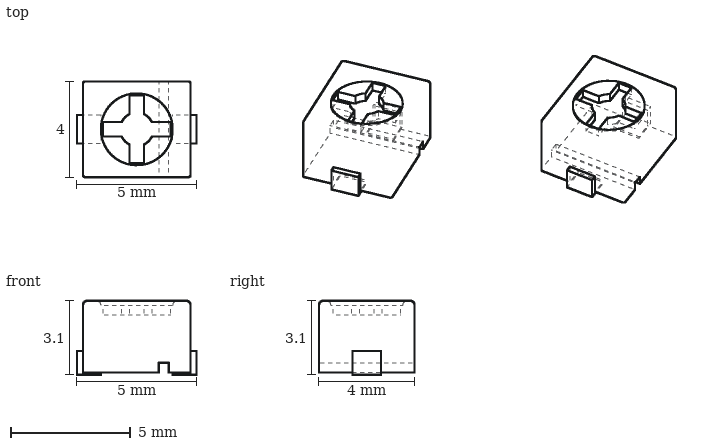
import cadquery as cq
import math

body_length = 4.5
body_width = 4.0
body_height = 3.0
standoff = 0.1
corner_radius = 0.1
top_edge_radius = 0.2
top_z = standoff + body_height

overall_length = 5.0
terminal_length = 1.0
terminal_width = 1.2
terminal_height = 1.0

notch_width = 0.4
notch_height = 0.4
notch_center_x = body_length / 4

recess_diameter = 3.0
recess_rim_radius = 0.2
recess_depth = recess_rim_radius
rotor_z = top_z - recess_depth
slot_length = 2.8
slot_width = 0.6
slot_hub_diameter = 1.4
slot_depth = 0.4


def make_housing():
    """Box with rounded upright corners and a rounded top edge."""
    block = (
        cq.Workplane("XY")
        .workplane(offset=standoff)
        .rect(body_length, body_width)
        .extrude(body_height)
    )
    return block.edges("|Z").fillet(corner_radius).faces(">Z").edges().fillet(top_edge_radius)


def make_terminal(side):
    """Solder terminal at one end; side is -1 or +1 along X."""
    center_x = side * (overall_length - terminal_length) / 2
    return (
        cq.Workplane("XY")
        .center(center_x, 0)
        .rect(terminal_length, terminal_width)
        .extrude(terminal_height)
    )


def make_notch():
    """Slot cut across the full width of the housing underside."""
    return (
        cq.Workplane("XY")
        .workplane(offset=standoff)
        .center(notch_center_x, 0)
        .rect(notch_width, body_width)
        .extrude(notch_height)
    )


def make_recess():
    """Round recess whose wall flares outward in a convex arc up to the top face."""
    inner_radius = recess_diameter / 2
    outer_radius = inner_radius + recess_rim_radius
    arc_reach = recess_rim_radius * math.cos(math.pi / 4)
    arc_middle = (outer_radius - arc_reach, rotor_z + arc_reach)
    return (
        cq.Workplane("XZ")
        .moveTo(0, rotor_z)
        .lineTo(inner_radius, rotor_z)
        .threePointArc(arc_middle, (outer_radius, top_z))
        .lineTo(0, top_z)
        .close()
        .revolve(360, (0, 0), (0, 1))
    )


def make_driver_slot():
    """Cross-shaped screwdriver slot with a round hub."""
    floor = cq.Workplane("XY").workplane(offset=rotor_z - slot_depth)
    arm_x = floor.rect(slot_length, slot_width).extrude(slot_depth)
    arm_y = floor.rect(slot_width, slot_length).extrude(slot_depth)
    hub = floor.circle(slot_hub_diameter / 2).extrude(slot_depth)
    return arm_x.union(arm_y).union(hub)


result = make_housing().cut(make_notch())
for side in (-1, 1):
    result = result.union(make_terminal(side))
result = result.cut(make_recess()).cut(make_driver_slot())